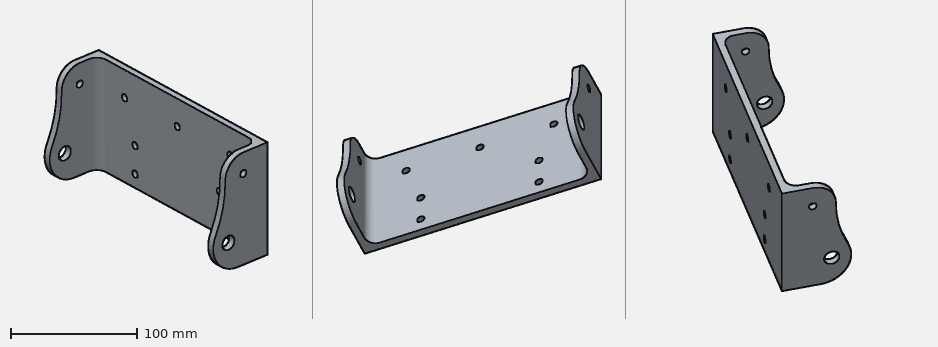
import cadquery as cq
import math

width = 203.5
depth = 57.2
height = 101.5
wall = 6.3
bend_radius = 9.5

top_radius = 19.1
top_center_y = 25.5
lower_radius = 25.5
lower_center_y = depth - lower_radius
lower_center_z = lower_radius
top_center_z = height - top_radius
neck_radius = 101.7

small_hole = 6.3
pivot_hole = 12.6
pivot_y = 41.0
back_upper_z = 76.3
back_upper_spacing = 63.5
back_lower_rows = (12.6, 38.2)
back_lower_spacing = 101.7


def channel():
    """U-shaped channel with its back face on Y = 0 and arms reaching toward -Y."""
    body = cq.Workplane("XY").box(width, depth, height, centered=(True, False, False))
    body = body.translate((0, -depth, 0))
    cavity = (
        cq.Workplane("XY")
        .box(width - 2 * wall, depth, height, centered=(True, False, False))
        .translate((0, -depth - wall, 0))
        .edges("|Z and >Y")
        .fillet(bend_radius)
    )
    return body.cut(cavity)


def point_on_circle(y, z, radius, angle):
    """Point in the YZ plane; y counts forward from the back face, so it is negated."""
    return (-(y + radius * math.cos(angle)), z + radius * math.sin(angle))


def arm_profile():
    """Solid across the full width with the outline of the arms."""
    top_reach = neck_radius + top_radius
    low_reach = neck_radius + lower_radius
    dy = lower_center_y - top_center_y
    dz = lower_center_z - top_center_z
    span = math.hypot(dy, dz)
    along = (top_reach**2 - low_reach**2 + span**2) / (2 * span)
    aside = math.sqrt(top_reach**2 - along**2)
    neck_y = top_center_y + (along * dy - aside * dz) / span
    neck_z = top_center_z + (along * dz + aside * dy) / span

    top_angle = math.atan2(neck_z - top_center_z, neck_y - top_center_y)
    low_angle = math.atan2(neck_z - lower_center_z, neck_y - lower_center_y)
    neck_angle = math.pi + (top_angle + low_angle) / 2

    def top_point(angle):
        return point_on_circle(top_center_y, top_center_z, top_radius, angle)

    def lower_point(angle):
        return point_on_circle(lower_center_y, lower_center_z, lower_radius, angle)

    neck_middle = point_on_circle(neck_y, neck_z, neck_radius, neck_angle)
    return (
        cq.Workplane("YZ")
        .moveTo(0, 0)
        .lineTo(0, height)
        .lineTo(-top_center_y, height)
        .threePointArc(top_point((math.pi / 2 + top_angle) / 2), top_point(top_angle))
        .threePointArc(neck_middle, lower_point(low_angle))
        .threePointArc(lower_point(low_angle / 2), lower_point(0))
        .threePointArc(lower_point(-math.pi / 4), lower_point(-math.pi / 2))
        .close()
        .extrude(width / 2, both=True)
    )


def arm_hole(y, z, diameter):
    """Cylinder along X that passes through both arms."""
    return cq.Workplane("YZ").center(-y, z).circle(diameter / 2).extrude(width, both=True)


def back_holes():
    """Cylinders along Y for the mounting holes in the back plate."""
    points = [(i * back_upper_spacing, back_upper_z) for i in (-1, 0, 1)]
    for z in back_lower_rows:
        points += [(side * back_lower_spacing / 2, z) for side in (-1, 1)]
    return cq.Workplane("XZ").pushPoints(points).circle(small_hole / 2).extrude(depth, both=True)


result = (
    channel()
    .intersect(arm_profile())
    .cut(arm_hole(top_center_y, top_center_z, small_hole))
    .cut(arm_hole(pivot_y, lower_center_z, pivot_hole))
    .cut(back_holes())
)